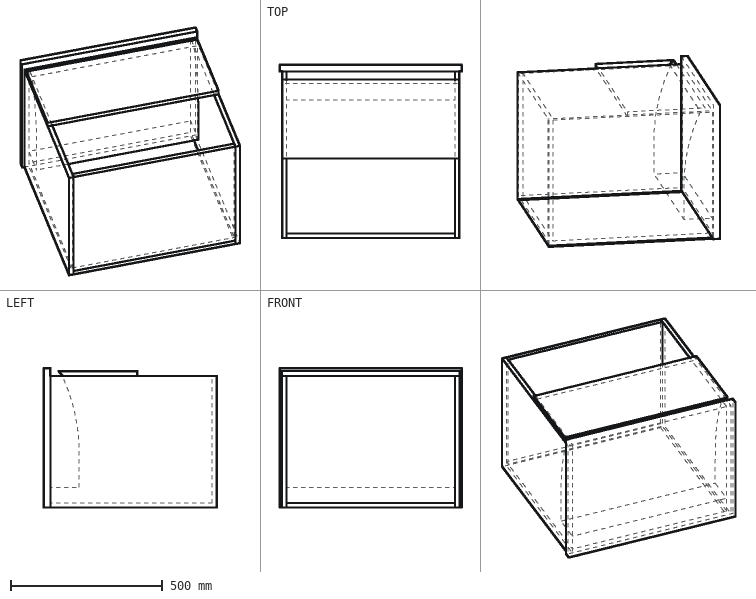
import cadquery as cq

panel = 15.5
back_width = 600.0
back_height = 460.0
back_thickness = 22.0
back_rounding = 2.5
cabinet_width = 585.0
cabinet_depth = 549.5
cabinet_height = 434.5
lid_front = 262.0
lid_back = 522.5
lid_undercut = 13.0
block_front = 455.0
block_bottom = 66.5
block_curve_start = 158.0
block_top_front = 510.0
block_curve_radius = 588.0

inner_width = cabinet_width - 2 * panel


def box(width, depth, height, y, z):
    """Box centred on X, starting at the given Y and Z."""
    return cq.Workplane("XY").box(width, depth, height, centered=(True, False, False)).translate((0, y, z))


def extrude_across(profile, width):
    """Extrude a closed YZ profile along X, centred on the cabinet."""
    return profile.close().extrude(width / 2, both=True)


def make_side(direction):
    """Full-depth side wall; direction is -1 for -X and +1 for +X."""
    offset = direction * (cabinet_width - panel) / 2
    return box(panel, cabinet_depth, cabinet_height, 0, 0).translate((offset, 0, 0))


def make_floor():
    return box(inner_width, cabinet_depth, panel, 0, 0)


def make_front():
    """Front wall standing on the floor between the sides."""
    return box(inner_width, panel, cabinet_height - panel, 0, panel)


def make_lid():
    """Half lid whose rear edge is undercut by a sloping face."""
    profile = (
        cq.Workplane("YZ")
        .moveTo(lid_front, cabinet_height)
        .lineTo(lid_back - lid_undercut, cabinet_height)
        .lineTo(lid_back, cabinet_height + panel)
        .lineTo(lid_front, cabinet_height + panel)
    )
    return extrude_across(profile, cabinet_width)


def make_inner_block():
    """Block against the back panel; its front is upright below and bows back above."""
    profile = (
        cq.Workplane("YZ")
        .moveTo(cabinet_depth, block_bottom)
        .lineTo(block_front, block_bottom)
        .lineTo(block_front, block_curve_start)
        .radiusArc((block_top_front, cabinet_height), block_curve_radius)
        .lineTo(cabinet_depth, cabinet_height)
    )
    return extrude_across(profile, inner_width)


def make_back():
    """Oversized back panel with rounded corners and a rounded rear rim."""
    panel_body = box(back_width, back_thickness, back_height, cabinet_depth, 0)
    return panel_body.edges("|Y").fillet(back_rounding).faces(">Y").edges().fillet(back_rounding)


sides = [make_side(direction).val() for direction in (-1, 1)]
floor = make_floor()
front = make_front()
lid = make_lid()
inner_block = make_inner_block()
back = make_back()

result = cq.Compound.makeCompound(
    [*sides, floor.val(), front.val(), lid.val(), inner_block.val(), back.val()]
)